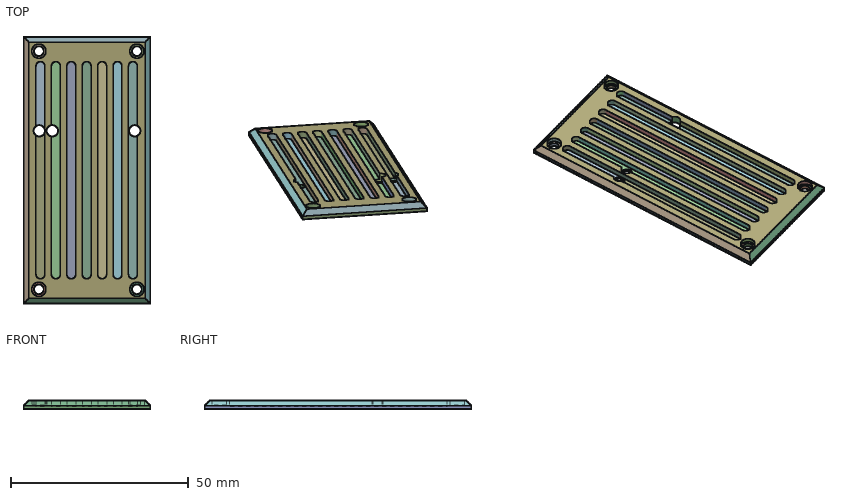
import cadquery as cq

PLATE_WIDTH = 35.67
PLATE_LENGTH = 75.0
PLATE_THICKNESS = 2.5
BEVEL = 1.5

GROOVE_COUNT = 7
GROOVE_SPAN = 26.0
GROOVE_PITCH = GROOVE_SPAN / (GROOVE_COUNT - 1)
GROOVE_WIDTH = 2.5
GROOVE_LENGTH = 61.0
GROOVE_DEPTH = 1.75
GROOVE_PATTERN_X = -0.09

SCREW_HOLE_DIAMETER = 2.7
SCREW_HEAD_DIAMETER = 4.0
SCREW_HEAD_DEPTH = 1.25
SCREW_SPACING_X = 27.55
SCREW_SPACING_Y = 66.94
SCREW_PATTERN_X = 0.25

ROW_HOLE_DIAMETER = 3.15
ROW_Y = 11.07
ROW_OUTER_X = 13.415
ROW_INNER_X = -9.745
ROW_HOLE_CENTRES = [
    (-ROW_OUTER_X, ROW_Y),
    (ROW_INNER_X, ROW_Y),
    (ROW_OUTER_X, ROW_Y),
]


def bevelled_plate():
    """Rectangular plate with all four top edges bevelled at 45 degrees."""
    plate = cq.Workplane("XY").box(
        PLATE_WIDTH, PLATE_LENGTH, PLATE_THICKNESS, centered=(True, True, False)
    )
    return plate.faces(">Z").edges().chamfer(BEVEL)


def top_plane(part):
    """Work plane on the top face with its origin on the plate's centre."""
    return part.faces(">Z").workplane(origin=(0, 0, PLATE_THICKNESS))


def cut_grooves(part):
    """Round-ended blind grooves sunk into the top face."""
    return (
        top_plane(part)
        .center(GROOVE_PATTERN_X, 0)
        .rarray(GROOVE_PITCH, 1, GROOVE_COUNT, 1)
        .slot2D(GROOVE_LENGTH, GROOVE_WIDTH, angle=90)
        .cutBlind(-GROOVE_DEPTH)
    )


def cut_screw_holes(part):
    """Through holes with flat-bottomed head recesses at the corners."""
    return (
        top_plane(part)
        .center(SCREW_PATTERN_X, 0)
        .rarray(SCREW_SPACING_X, SCREW_SPACING_Y, 2, 2)
        .cboreHole(SCREW_HOLE_DIAMETER, SCREW_HEAD_DIAMETER, SCREW_HEAD_DEPTH)
    )


def cut_row_holes(part):
    """Plain through holes in a row across the grooves."""
    return top_plane(part).pushPoints(ROW_HOLE_CENTRES).hole(ROW_HOLE_DIAMETER)


result = cut_row_holes(cut_screw_holes(cut_grooves(bevelled_plate())))